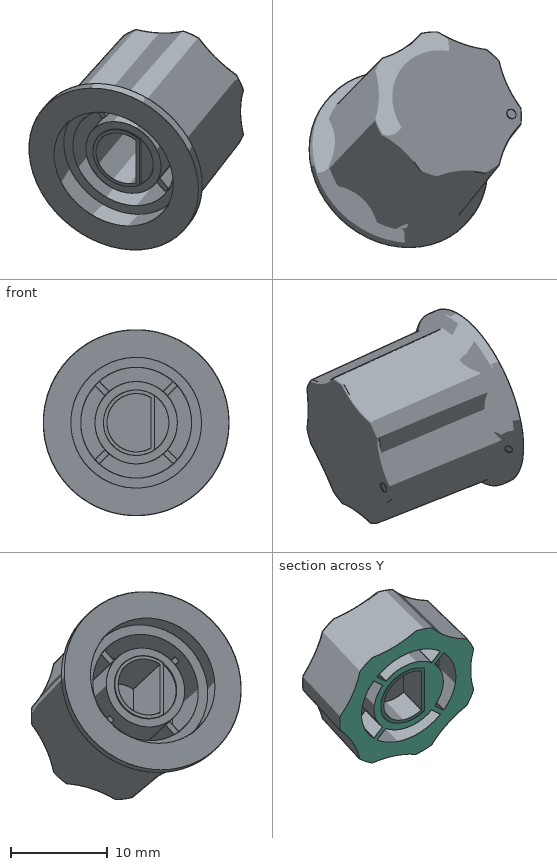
import cadquery as cq
import math

LENGTH = 15.75

RIM_RADIUS = 9.6
RIM_HEIGHT = 1.0
RIM_FILLET = 0.2
CONE_HEIGHT = 3.45

LOBE_COUNT = 7
GRIP_BASE_RADIUS = 8.6
GRIP_END_RADIUS = 8.24
FLUTE_FLOOR_RADIUS = 7.78
FLUTE_RADIUS = 10.37
EDGE_FILLET = 0.2

CROWN_FLAT_RADIUS = 12.0 / 2
CROWN_DROP = 0.25

SKIRT_MARK_DIAMETER = 0.8
SKIRT_MARK_DEPTH = 0.1
SKIRT_MARK_Y = 1.52
CROWN_MARK_DIAMETER = 1.04
CROWN_MARK_DEPTH = 0.2
CROWN_MARK_OFFSET = 7.07

COUNTERBORE_DIAMETER = 13.5
COUNTERBORE_DEPTH = 2.44
WELL_DIAMETER = 11.45
WELL_DEPTH = 8.64
HUB_DIAMETER = 8.5
RIB_COUNT = 4
RIB_WIDTH = 0.61
RIB_SETBACK = 1.92

SLEEVE_RADIUS = 3.38
SLEEVE_FLAT_X = 1.88
SLEEVE_WALL = 0.36
BORE_RECESS_DEPTH = 0.2
SLEEVE_PROTRUSION = 0.17
SLEEVE_HOLE_DEPTH = 8.64

HUB_FACE_Y = COUNTERBORE_DEPTH
BORE_FLOOR_Y = HUB_FACE_Y + BORE_RECESS_DEPTH
SLEEVE_FACE_Y = HUB_FACE_Y - SLEEVE_PROTRUSION
SLEEVE_LENGTH = BORE_FLOOR_Y + SLEEVE_HOLE_DEPTH - SLEEVE_FACE_Y
SHOULDER_Y = LENGTH - CROWN_DROP

EDGE_BAND_START = 3.84
EDGE_BAND_END = LENGTH - 0.05
JOINT_BAND_START = 1.54
JOINT_BAND_END = 3.84


def disc(radius, start_y, length):
    """Round bar along the Y axis."""
    return cq.Workplane("XZ", origin=(0, start_y, 0)).circle(radius).extrude(-length)


def edges_between(start_y, end_y):
    """Selector of the edges whose middles lie between two places along Y."""
    return cq.selectors.BoxSelector(
        (-RIM_RADIUS, start_y, -RIM_RADIUS), (RIM_RADIUS, end_y, RIM_RADIUS)
    )


def d_bar(radius, flat_x, start_y, length):
    """Bar along Y with a D section, flat on the +X side."""
    flat_half = math.sqrt(radius**2 - flat_x**2)
    return (
        cq.Workplane("XZ", origin=(0, start_y, 0))
        .moveTo(flat_x, -flat_half)
        .lineTo(flat_x, flat_half)
        .threePointArc((-radius, 0), (flat_x, -flat_half))
        .close()
        .extrude(-length)
    )


def make_flute():
    """Cylinder tilted with the grip taper, so that the flute keeps its depth along the grip."""
    taper = (GRIP_BASE_RADIUS - GRIP_END_RADIUS) / SHOULDER_Y
    tilt_length = math.hypot(1, taper)
    axis_radius = FLUTE_FLOOR_RADIUS + FLUTE_RADIUS * tilt_length
    return cq.Workplane(
        cq.Solid.makeCylinder(
            FLUTE_RADIUS,
            2 * LENGTH,
            cq.Vector(axis_radius + taper * LENGTH / 2, -LENGTH / 2, 0),
            cq.Vector(-taper, 1, 0),
        )
    )


def make_grip():
    grip = (
        cq.Workplane("XY")
        .lineTo(GRIP_BASE_RADIUS, 0)
        .lineTo(GRIP_END_RADIUS, SHOULDER_Y)
        .lineTo(CROWN_FLAT_RADIUS, LENGTH)
        .lineTo(0, LENGTH)
        .close()
        .revolve(360, (0, 0, 0), (0, 1, 0))
    )
    flute = make_flute()
    pitch = 360 / LOBE_COUNT
    for index in range(LOBE_COUNT):
        grip = grip.cut(flute.rotate((0, 0, 0), (0, 1, 0), index * pitch))
    return grip.edges(edges_between(EDGE_BAND_START, EDGE_BAND_END)).fillet(EDGE_FILLET)


def make_skirt():
    cone_top_y = RIM_HEIGHT + CONE_HEIGHT
    skirt = (
        cq.Workplane("XY")
        .lineTo(RIM_RADIUS, 0)
        .lineTo(RIM_RADIUS, RIM_HEIGHT)
        .lineTo(RIM_RADIUS - CONE_HEIGHT, cone_top_y)
        .lineTo(0, cone_top_y)
        .close()
        .revolve(360, (0, 0, 0), (0, 1, 0))
    )
    rim_edge = edges_between(RIM_HEIGHT - RIM_FILLET, RIM_HEIGHT + RIM_FILLET)
    return skirt.edges(rim_edge).fillet(RIM_FILLET)


def make_shell():
    """Grip joined to the skirt, with the inside corner between them rounded."""
    shell = make_skirt().union(make_grip())
    return shell.edges(edges_between(JOINT_BAND_START, JOINT_BAND_END)).fillet(EDGE_FILLET)


def make_cavity():
    """Counterbore and ring-shaped well, less the ribs that tie the hub to the grip."""
    well_end_y = HUB_FACE_Y + WELL_DEPTH
    well = disc(WELL_DIAMETER / 2, HUB_FACE_Y, WELL_DEPTH)
    well = well.cut(disc(HUB_DIAMETER / 2, HUB_FACE_Y, WELL_DEPTH))
    rib_length = WELL_DEPTH - RIB_SETBACK
    rib = cq.Workplane("XY").box(WELL_DIAMETER, rib_length, RIB_WIDTH)
    rib = rib.translate((WELL_DIAMETER / 2, well_end_y - rib_length / 2, 0))
    for index in range(RIB_COUNT):
        well = well.cut(rib.rotate((0, 0, 0), (0, 1, 0), (index + 0.5) * 360 / RIB_COUNT))
    return well.union(disc(COUNTERBORE_DIAMETER / 2, 0, COUNTERBORE_DEPTH))


def make_hub_bore():
    """Shallow round recess, then the D-shaped hole that holds the sleeve."""
    recess = disc(SLEEVE_RADIUS, HUB_FACE_Y, BORE_RECESS_DEPTH)
    return recess.union(d_bar(SLEEVE_RADIUS, SLEEVE_FLAT_X, BORE_FLOOR_Y, SLEEVE_HOLE_DEPTH))


def make_skirt_mark():
    """Cutter for the dimple square to the 45 degree cone."""
    mark_x = -(RIM_RADIUS + RIM_HEIGHT - SKIRT_MARK_Y)
    plane = cq.Plane((mark_x, SKIRT_MARK_Y, 0), xDir=(0, 0, 1), normal=(-1, 1, 0))
    return cq.Workplane(plane).circle(SKIRT_MARK_DIAMETER / 2).extrude(SKIRT_MARK_DEPTH, both=True)


def make_crown_mark():
    """Cutter for the dimple in the sloping shoulder of the crown."""
    floor_y = LENGTH - CROWN_MARK_DEPTH
    mark = disc(CROWN_MARK_DIAMETER / 2, floor_y, CROWN_MARK_DEPTH)
    return mark.translate((-CROWN_MARK_OFFSET, 0, 0))


def make_knob():
    knob = make_shell().cut(make_cavity()).cut(make_hub_bore())
    return knob.cut(make_skirt_mark()).cut(make_crown_mark())


def make_sleeve():
    """D-shaped tube with an even wall, closely fitting the D hole of the hub."""
    outside = d_bar(SLEEVE_RADIUS, SLEEVE_FLAT_X, SLEEVE_FACE_Y, SLEEVE_LENGTH)
    inside = d_bar(
        SLEEVE_RADIUS - SLEEVE_WALL, SLEEVE_FLAT_X - SLEEVE_WALL, SLEEVE_FACE_Y, SLEEVE_LENGTH
    )
    return outside.cut(inside)


knob = make_knob()
sleeve = make_sleeve()
result = cq.Compound.makeCompound([knob.val(), sleeve.val()])